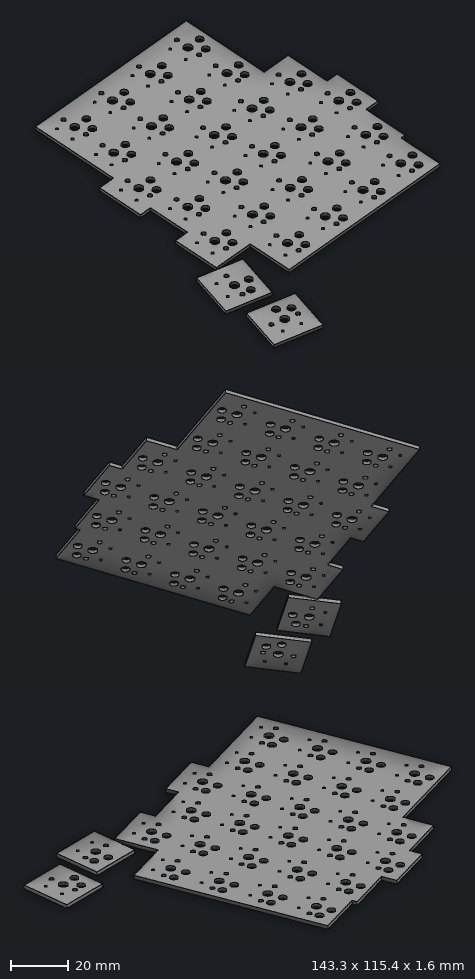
import cadquery as cq


PLATE_THICKNESS = 1.6
MAIN_PLATE_WIDTH = 115.0
TILE_WIDTH = 20.0

COLUMNS = [(4, 0.0), (4, 0.0), (5, 12.0), (5, 17.0), (5, 11.0), (4, 9.0)]
KEY_PITCH = (MAIN_PLATE_WIDTH - TILE_WIDTH) / (len(COLUMNS) - 1)
TILE_HEIGHT = KEY_PITCH
FIRST_COLUMN_TOP = (COLUMNS[0][0] - 1) * KEY_PITCH

THUMB_TILT = -15
THUMB_KEYS = [(96.7, -19.5, THUMB_TILT), (121.5, -19.8, THUMB_TILT + 90)]

CENTER_HOLE_DIAMETER = 3.5
SIDE_HOLE_DIAMETER = 1.7
SIDE_HOLE_OFFSET = 5.5
CONTACT_HOLE_DIAMETER = 3.0
UPPER_CONTACT_Y = 5.9
RIGHT_CONTACT_X = 5.0
RIGHT_CONTACT_Y = 3.7
PIN_HOLE_DIAMETER = 0.99
PIN_HOLE_SPACING = 7.6
PIN_HOLE_Y = -5.0

KEY_HOLES = [
    (CENTER_HOLE_DIAMETER, [(0, 0)]),
    (SIDE_HOLE_DIAMETER, [(-SIDE_HOLE_OFFSET, 0), (SIDE_HOLE_OFFSET, 0)]),
    (CONTACT_HOLE_DIAMETER, [(0, UPPER_CONTACT_Y), (RIGHT_CONTACT_X, RIGHT_CONTACT_Y)]),
    (PIN_HOLE_DIAMETER, [(-PIN_HOLE_SPACING / 2, PIN_HOLE_Y), (PIN_HOLE_SPACING / 2, PIN_HOLE_Y)]),
]


def drill_keys(plate, key_centers):
    """Drill the full hole pattern of a key at each of the given centres."""
    for diameter, hole_centers in KEY_HOLES:
        points = [(kx + hx, ky + hy) for kx, ky in key_centers for hx, hy in hole_centers]
        drills = cq.Workplane("XY").pushPoints(points).circle(diameter / 2).extrude(PLATE_THICKNESS)
        plate = plate.cut(drills)
    return plate


def column_key_centers(index):
    """Key centres of one column, from the top key down."""
    key_count, stagger = COLUMNS[index]
    top_y = FIRST_COLUMN_TOP + stagger
    return [(index * KEY_PITCH, top_y - row * KEY_PITCH) for row in range(key_count)]


def column_blank(index):
    """Undrilled strip that holds one column of keys."""
    key_centers = column_key_centers(index)
    column_x, top_y = key_centers[0]
    bottom_y = key_centers[-1][1]
    strip_height = top_y - bottom_y + TILE_HEIGHT
    return (
        cq.Workplane("XY")
        .center(column_x, (top_y + bottom_y) / 2)
        .rect(TILE_WIDTH, strip_height)
        .extrude(PLATE_THICKNESS)
    )


def make_main_plate():
    """Overlapping column strips joined into one plate, drilled for every key."""
    plate = column_blank(0)
    for index in range(1, len(COLUMNS)):
        plate = plate.union(column_blank(index))
    plate = plate.clean()
    key_centers = [center for index in range(len(COLUMNS)) for center in column_key_centers(index)]
    return drill_keys(plate, key_centers)


def make_thumb_plate(center_x, center_y, rotation):
    """Single-key plate, turned about its centre and moved into place."""
    blank = cq.Workplane("XY").rect(TILE_WIDTH, TILE_HEIGHT).extrude(PLATE_THICKNESS)
    plate = drill_keys(blank, [(0, 0)])
    return plate.rotate((0, 0, 0), (0, 0, 1), rotation).translate((center_x, center_y, 0))


main_plate = make_main_plate()
thumb_plates = [make_thumb_plate(x, y, rotation) for x, y, rotation in THUMB_KEYS]

result = cq.Compound.makeCompound([
    main_plate.solids().val(),
    *[plate.solids().val() for plate in thumb_plates],
])